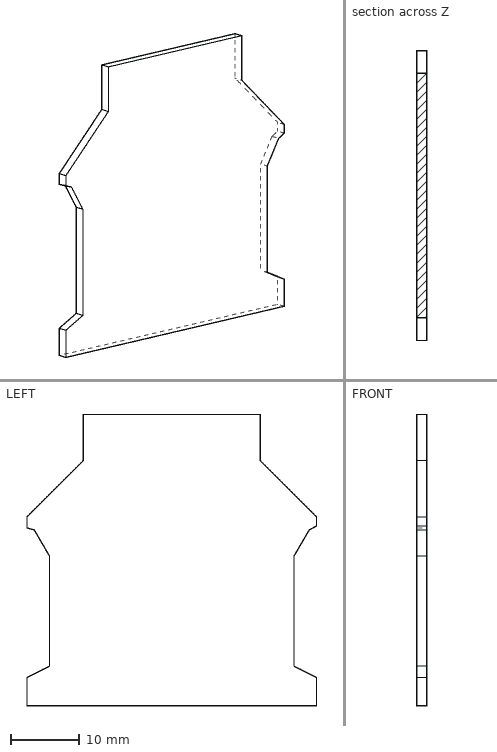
import cadquery as cq

thickness = 1.5
width = 42.5
height = 42.7
half_width = width / 2

half_tab = 13.0
shoulder_top = 35.9
shoulder_tip = 27.65

tip_bottom_plus_y = 26.05
tip_bottom_minus_y = 26.35
half_notch = 20.15
notch_height = 25.75

half_waist = 17.95
waist_top = 21.95
waist_bottom = 5.8
foot_height = 4.15


def edge_points(side, tip_bottom):
    """Corners of one edge from the foot up to the tab; side is +1 for +Y, -1 for -Y."""
    corners = [
        (half_width, 0),
        (half_width, foot_height),
        (half_waist, waist_bottom),
        (half_waist, waist_top),
        (half_notch, notch_height),
        (half_width, tip_bottom),
        (half_width, shoulder_tip),
        (half_tab, shoulder_top),
        (half_tab, height),
    ]
    return [(side * y, z) for y, z in corners]


plus_y_edge = edge_points(1, tip_bottom_plus_y)
minus_y_edge = edge_points(-1, tip_bottom_minus_y)

result = (
    cq.Workplane("YZ")
    .polyline(plus_y_edge + minus_y_edge[::-1])
    .close()
    .extrude(thickness / 2, both=True)
)